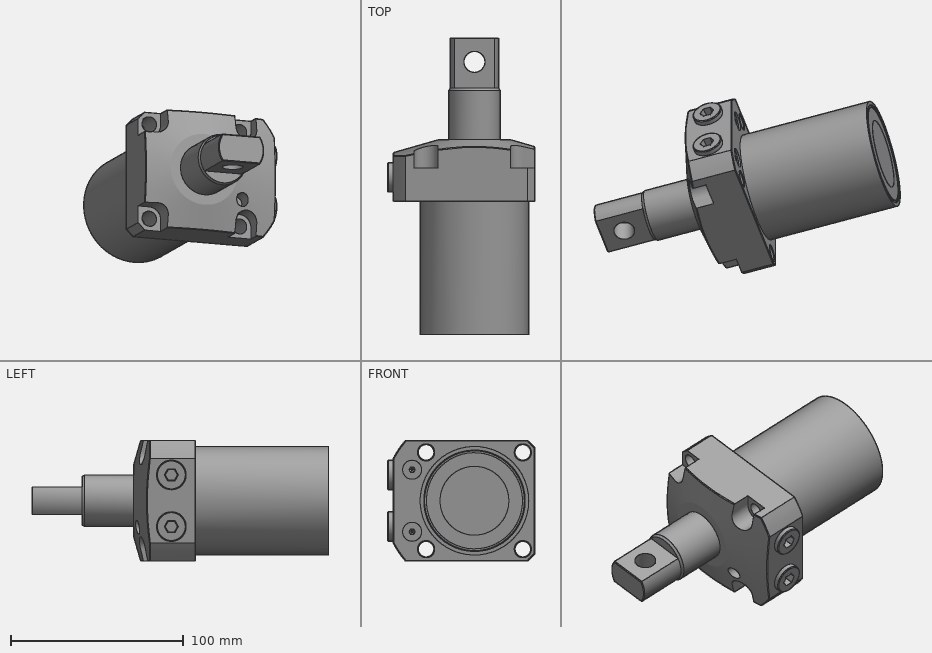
import cadquery as cq
import math


overall_length = 172.0
overall_width = 85.3

flange_thickness = 36.0
flange_half_width = 35.0
flange_left = 47.1
turned_radius = 53.1
corner_chamfer = 4.1
cone_start_radius = 21.0
cone_angle = 16.0
front_edge_chamfer = 0.43
rear_edge_chamfer = 0.5

bolt_spacing = 56.0
bolt_hole_radius = 4.5
bolt_hole_chamfer = 0.5
bolt_seat_radius = 7.0
bolt_seat_y = 19.6

vent_radius = 4.0
vent_x = -24.5
vent_z = -15.3
vent_floor_y = 22.4

barrel_radius = 31.5
barrel_length = 77.0
bore_chamfer = 0.5
cap_radius = 28.9
cap_thickness = 10.0
cap_rim_width = 1.0
cap_rim_depth = 0.3
cap_recess_radius = 20.0
cap_recess_depth = 0.2

rod_radius = 15.0
rod_bevel_length = 1.5
tongue_radius = 14.1
tongue_thickness = 16.0
tongue_length = 29.0
tongue_tip_chamfer = 0.5
pin_hole_radius = 6.0
pin_hole_from_tip = 14.0

plug_radius = 8.6
plug_chamfer = 0.5
plug_shank_radius = 5.2
plug_shank_length = 5.2
plug_y = 14.1
plug_spacing = 30.0
plug_socket_width = 7.0
plug_socket_depth = 5.2
plug_socket_taper = 5.0

screw_radius = 5.5
screw_length = 6.9
screw_inset = 1.0
screw_x = -36.1
screw_spacing = 36.0
screw_socket_width = 3.1
screw_socket_depth = 2.4
screw_socket_taper = 27.0

plug_height = overall_width - flange_half_width - flange_left
barrel_end_y = -barrel_length
rod_tip_y = overall_length - barrel_length


def disc(radius, start_y, end_y, x=0, z=0):
    """Round bar along Y between two positions."""
    base = cq.Workplane(cq.Plane((x, start_y, z), xDir=(1, 0, 0), normal=(0, 1, 0)))
    return base.circle(radius).extrude(end_y - start_y)


def hexagon_socket(plane, across_flats, depth, taper):
    """Hexagonal cutter that narrows as it runs into the body from the plane."""
    across_corners = across_flats / math.cos(math.pi / 6)
    return cq.Workplane(plane).polygon(6, across_corners).extrude(-depth, taper=taper)


def flange_blank():
    """Plate trimmed by a turned outline with a conical front face, edges chamfered."""
    plate = (
        cq.Workplane("XY")
        .box(flange_left + flange_half_width, flange_thickness, 2 * flange_half_width, centered=False)
        .translate((-flange_left, 0, -flange_half_width))
        .edges("|Y and >X").chamfer(corner_chamfer)
    )
    cone_drop = (turned_radius - cone_start_radius) * math.tan(math.radians(cone_angle))
    turned_outline = [
        (0, 0),
        (turned_radius, 0),
        (turned_radius, flange_thickness - cone_drop),
        (cone_start_radius, flange_thickness),
        (0, flange_thickness),
    ]
    turned = cq.Workplane("XY").polyline(turned_outline).close().revolve(360, (0, 0, 0), (0, 1, 0))
    blank = plate.intersect(turned)
    cone_edges = blank.faces("%CONE").edges()
    rim = cone_edges.filter(lambda edge: edge.Center().y < flange_thickness - front_edge_chamfer)
    blank = rim.chamfer(front_edge_chamfer)
    return blank.faces("<Y").edges().chamfer(rear_edge_chamfer)


def bolt_hole(x, z):
    """Through hole with a chamfered rear mouth."""
    mouth_plane = cq.Plane((x, 0, z), xDir=(1, 0, 0), normal=(0, 1, 0))
    mouth = cq.Workplane(mouth_plane).circle(bolt_hole_radius + bolt_hole_chamfer)
    mouth = mouth.extrude(bolt_hole_chamfer, taper=45)
    return disc(bolt_hole_radius, 0, flange_thickness, x, z).union(mouth)


def bolt_notch(x, z):
    """Seat for a bolt head, open to the nearest Z side and on the right also to +X."""
    height = flange_thickness - bolt_seat_y
    channel = (
        cq.Workplane("XY")
        .box(2 * bolt_seat_radius, height, flange_half_width, centered=(True, False, False))
        .translate((0, bolt_seat_y, 0))
    )
    openings = [0 if z > 0 else 180]
    if x > 0:
        openings.append(90)
    notch = disc(bolt_seat_radius, bolt_seat_y, flange_thickness)
    for angle in openings:
        notch = notch.union(channel.rotate((0, 0, 0), (0, 1, 0), angle))
    return notch.translate((x, 0, z))


def plug_seat(z):
    """Plane of a plug's seat on the left flat, facing outwards."""
    return cq.Plane((-flange_left, plug_y, z), xDir=(0, 1, 0), normal=(-1, 0, 0))


def plug_shank(z):
    """Shank that runs from the seat into the flange."""
    return cq.Workplane(plug_seat(z)).circle(plug_shank_radius).extrude(-plug_shank_length)


def make_housing():
    housing = flange_blank()
    for x in (-bolt_spacing / 2, bolt_spacing / 2):
        for z in (-bolt_spacing / 2, bolt_spacing / 2):
            housing = housing.cut(bolt_hole(x, z)).cut(bolt_notch(x, z))
    housing = housing.cut(disc(vent_radius, vent_floor_y, flange_thickness, vent_x, vent_z))
    for z in (-screw_spacing / 2, screw_spacing / 2):
        housing = housing.cut(disc(screw_radius, 0, screw_inset + screw_length, screw_x, z))
    for z in (-plug_spacing / 2, plug_spacing / 2):
        housing = housing.cut(plug_shank(z))
    housing = housing.union(disc(barrel_radius, barrel_end_y, 0))
    housing = housing.cut(disc(cap_radius, barrel_end_y, barrel_end_y + cap_thickness))
    return housing.faces("<Y").edges(cq.selectors.RadiusNthSelector(0)).chamfer(bore_chamfer)


def make_end_cap():
    """Plate flush with the barrel's end, with a stepped rim and a shallow recess."""
    rim_y = barrel_end_y + cap_rim_depth
    cap = disc(cap_radius, rim_y, barrel_end_y + cap_thickness)
    cap = cap.union(disc(cap_radius - cap_rim_width, barrel_end_y, rim_y))
    return cap.cut(disc(cap_recess_radius, barrel_end_y, barrel_end_y + cap_recess_depth))


def make_rod():
    shoulder_y = rod_tip_y - tongue_length
    shaft = disc(rod_radius, flange_thickness, shoulder_y)
    shaft = shaft.faces(">Y").edges().chamfer(rod_bevel_length, rod_radius - tongue_radius)
    flats = (
        cq.Workplane("XY")
        .box(2 * tongue_radius, tongue_length, tongue_thickness, centered=(True, False, True))
        .translate((0, shoulder_y, 0))
    )
    tongue = disc(tongue_radius, shoulder_y, rod_tip_y).intersect(flats)
    tongue = tongue.faces(">Y").edges().chamfer(tongue_tip_chamfer)
    pin_hole = (
        cq.Workplane("XY")
        .center(0, rod_tip_y - pin_hole_from_tip)
        .circle(pin_hole_radius)
        .extrude(tongue_thickness, both=True)
    )
    return shaft.union(tongue).cut(pin_hole)


def make_plug(z):
    """Plug with a round head seated on the left flat and a shank in the flange."""
    head = cq.Workplane(plug_seat(z)).circle(plug_radius).extrude(plug_height)
    head = head.faces("<X").edges().chamfer(plug_chamfer)
    face = cq.Plane((-flange_left - plug_height, plug_y, z), xDir=(0, 1, 0), normal=(-1, 0, 0))
    socket = hexagon_socket(face, plug_socket_width, plug_socket_depth, plug_socket_taper)
    return head.union(plug_shank(z)).cut(socket)


def make_screw(z):
    """Headless screw that fills its hole up to the inset."""
    screw = disc(screw_radius, screw_inset, screw_inset + screw_length, screw_x, z)
    face = cq.Plane((screw_x, screw_inset, z), xDir=(1, 0, 0), normal=(0, -1, 0))
    return screw.cut(hexagon_socket(face, screw_socket_width, screw_socket_depth, screw_socket_taper))


housing = make_housing()
end_cap = make_end_cap()
rod = make_rod()
plugs = [make_plug(z) for z in (-plug_spacing / 2, plug_spacing / 2)]
screws = [make_screw(z) for z in (-screw_spacing / 2, screw_spacing / 2)]

result = cq.Compound.makeCompound([
    housing.val(),
    end_cap.val(),
    rod.val(),
    *[plug.val() for plug in plugs],
    *[screw.val() for screw in screws],
])